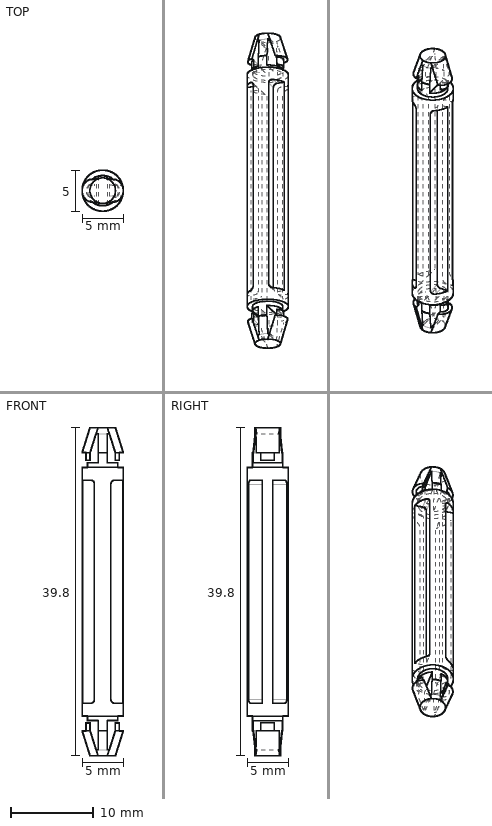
import cadquery as cq
import math

total_length = 39.8
half_length = total_length / 2
body_diameter = 5.0
body_radius = body_diameter / 2
collar_diameter = 3.7
tip_diameter = 3.1
tip_radius = tip_diameter / 2
neck_diameter = 3.6

web_depth = 0.75
barb_depth = 3.02
tab_end_depth = 3.98
collar_depth = 4.25
body_depth = 4.8
pocket_depth = 6.35

stem_thickness = 1.1
arm_inner_offset = 0.55
arm_shift = body_radius - tip_radius
barb_end_width = 2.75
tab_width = 1.65
tab_outer_offset = 2.03
tab_inner_offset = arm_inner_offset + arm_shift

pocket_x = 1.0
pocket_y = 0.65
pocket_fillet = 0.48


def make_body():
    """Round body with four corner pockets that leave a cross-shaped section."""
    body_length = total_length - 2 * body_depth
    pocket_length = total_length - 2 * pocket_depth
    body = cq.Workplane("XY").circle(body_radius).extrude(body_length / 2, both=True)
    for x_side in (-1, 1):
        for y_side in (-1, 1):
            pocket = (
                cq.Workplane("XY")
                .box(body_radius, body_radius, pocket_length)
                .edges("|Y and " + ("<X" if x_side > 0 else ">X"))
                .fillet(pocket_fillet)
                .translate((
                    x_side * (pocket_x + body_radius / 2),
                    y_side * (pocket_y + body_radius / 2),
                    0,
                ))
            )
            body = body.cut(pocket)
    return body


def make_stem():
    """Collar, flat stem and the web that joins the arms at the tip."""
    collar_radius = collar_diameter / 2
    turned = (
        cq.Workplane("XZ")
        .moveTo(0, half_length - body_depth)
        .lineTo(collar_radius, half_length - body_depth)
        .lineTo(collar_radius, half_length - barb_depth)
        .lineTo(neck_diameter / 2, half_length - barb_depth)
        .lineTo(tip_radius, half_length - web_depth)
        .lineTo(tip_radius, half_length)
        .lineTo(0, half_length)
        .close()
        .revolve(360, (0, 0, 0), (0, 1, 0))
    )
    web_half_width = arm_inner_offset + arm_shift * web_depth / barb_depth
    profile = (
        cq.Workplane("XZ")
        .moveTo(arm_inner_offset, half_length)
        .lineTo(web_half_width, half_length - web_depth)
        .lineTo(stem_thickness / 2, half_length - web_depth)
        .lineTo(stem_thickness / 2, half_length - collar_depth)
        .lineTo(collar_radius, half_length - collar_depth)
        .lineTo(collar_radius, half_length - body_depth)
        .lineTo(0, half_length - body_depth)
        .lineTo(0, half_length)
        .close()
        .extrude(body_radius, both=True)
    )
    return turned.intersect(profile.union(profile.mirror("YZ")))


def make_arm():
    """Leaning barb arm on the +X side, with the release tab below it."""
    tip_width = 2 * math.sqrt(tip_radius**2 - arm_inner_offset**2)

    def segment(x_shift, width, z):
        """Outward-facing round segment with a chord of the given width."""
        return (
            cq.Workplane("XY", origin=(x_shift, 0, z))
            .moveTo(arm_inner_offset, -width / 2)
            .threePointArc((tip_radius, 0), (arm_inner_offset, width / 2))
            .close()
            .val()
        )

    barb = cq.Solid.makeLoft(
        [
            segment(arm_shift, barb_end_width, half_length - barb_depth),
            segment(0, tip_width, half_length),
        ],
        True,
    )
    tab = (
        cq.Workplane("XY", origin=(0, 0, half_length - tab_end_depth))
        .moveTo(tab_inner_offset, -tab_width / 2)
        .threePointArc((tab_outer_offset, 0), (tab_inner_offset, tab_width / 2))
        .close()
        .extrude(tab_end_depth - barb_depth)
    )
    return cq.Workplane(barb).union(tab)


arm = make_arm()
snap_end = make_stem().union(arm).union(arm.mirror("YZ"))
result = make_body().union(snap_end).union(snap_end.mirror("XY"))